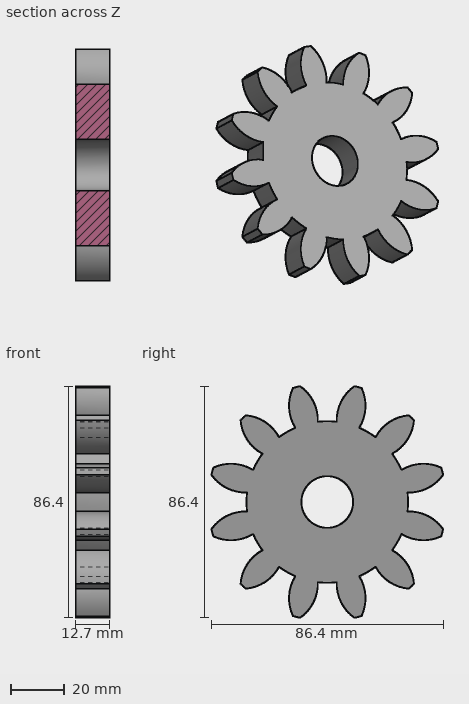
import cadquery as cq
import math

thickness = 12.7
root_radius = 30.2
bore_radius = 9.6
tooth_count = 12
outer_width = 86.4

tooth_pitch_angle = 360 / tooth_count
first_tooth_angle = tooth_pitch_angle / 2

root_half_width = 4.4
belly_radius = 35.9
belly_half_width = 5.0
tip_half_angle = 1.8

outer_corner_angle = math.radians(first_tooth_angle - tip_half_angle)
tip_radius = outer_width / 2 / math.cos(outer_corner_angle)
tip_half_width = tip_radius * math.sin(math.radians(tip_half_angle))


def axial_distance(radius, half_width):
    """Distance along the tooth centreline of a point at the given radius."""
    return math.sqrt(radius**2 - half_width**2)


def make_tooth():
    """One tooth pointing along +Y, with bulging flanks and a rounded tip."""
    root_y = axial_distance(root_radius, root_half_width)
    belly_y = axial_distance(belly_radius, belly_half_width)
    tip_y = axial_distance(tip_radius, tip_half_width)
    return (
        cq.Workplane("YZ")
        .lineTo(root_y, -root_half_width)
        .threePointArc((belly_y, -belly_half_width), (tip_y, -tip_half_width))
        .threePointArc((tip_radius, 0), (tip_y, tip_half_width))
        .threePointArc((belly_y, belly_half_width), (root_y, root_half_width))
        .close()
        .extrude(thickness)
    )


gear = cq.Workplane("YZ").circle(root_radius).extrude(thickness)

tooth = make_tooth()
for index in range(tooth_count):
    angle = first_tooth_angle + index * tooth_pitch_angle
    gear = gear.union(tooth.rotate((0, 0, 0), (1, 0, 0), angle))

bore = cq.Workplane("YZ").circle(bore_radius).extrude(thickness)
result = gear.cut(bore)